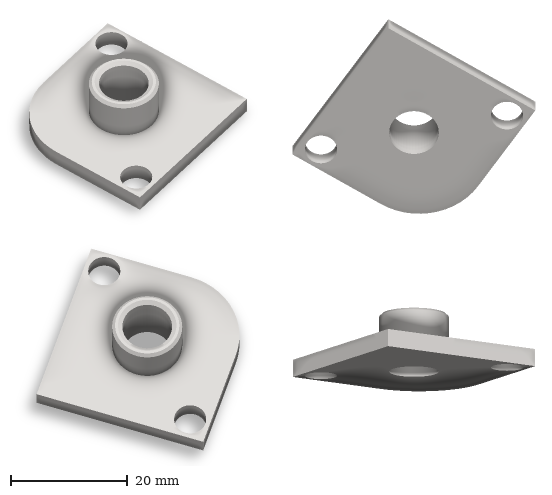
import cadquery as cq
import math

plate_side = 30.0
plate_thickness = 3.0
corner_radius = 12.0

total_height = 10.0
boss_diameter = 12.0
bore_diameter = 8.5
rim_chamfer = 0.5
mouth_diameter = 10.0
lead_in_slope = 30.0

mount_hole_diameter = 5.5
mount_hole_offset = 11.5


def make_plate():
    """Plate with its underside at Z = 0 and its -X, -Y corner rounded."""
    plate = cq.Workplane("XY").box(
        plate_side, plate_side, plate_thickness, centered=(True, True, False)
    )
    plate = plate.edges("|Z and <X and <Y").fillet(corner_radius)
    hole_centers = [
        (-mount_hole_offset, mount_hole_offset),
        (mount_hole_offset, -mount_hole_offset),
    ]
    return (
        plate.faces(">Z")
        .workplane(origin=(0, 0, plate_thickness))
        .pushPoints(hole_centers)
        .hole(mount_hole_diameter)
    )


def make_boss():
    """Solid boss rising from the underside, chamfered around its top rim."""
    boss = cq.Workplane("XY").circle(boss_diameter / 2).extrude(total_height)
    return boss.faces(">Z").edges().chamfer(rim_chamfer)


def make_bore():
    """Through bore with a shallow conical lead-in at the top."""
    bore_radius = bore_diameter / 2
    mouth_radius = mouth_diameter / 2
    lead_in_depth = (mouth_radius - bore_radius) * math.tan(math.radians(lead_in_slope))
    return (
        cq.Workplane("XZ")
        .moveTo(0, 0)
        .lineTo(bore_radius, 0)
        .lineTo(bore_radius, total_height - lead_in_depth)
        .lineTo(mouth_radius, total_height)
        .lineTo(0, total_height)
        .close()
        .revolve(360, (0, 0, 0), (0, 1, 0))
    )


result = make_plate().union(make_boss()).cut(make_bore())